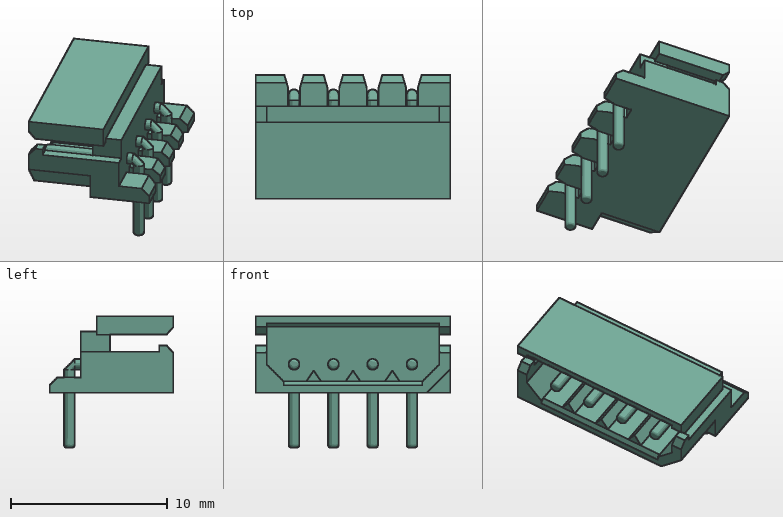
import cadquery as cq
import math


width = 12.4
height = 4.9
housing_depth = 5.91
wall = 0.7
lid_bottom = 3.72
lid_back = 4.9
lid_chamfer_depth = 0.43
back_wall_front = 4.03
back_wall_top = 3.93

side_wall_top = 2.64
lug_top = 3.03
lug_back = 0.92
lug_chamfer_depth = 0.43
lug_chamfer_height = 0.47

cavity_floor = 0.73
cavity_ceiling = 4.2
cavity_corner = 1.09
lead_in = 0.25
key_corner = 1.51

flange_end = 7.9
flange_height = 0.99
flange_chamfer = 0.5
slot_width = 0.75
slot_mouth_width = 1.22
slot_taper_start = 7.09

pin_count = 4
pitch = 2.5
pin_diameter = 0.7
pin_axis_height = 1.82
pin_leg_position = 6.63
pin_tip = 0.51
pin_tip_fillet = 0.2
pin_length_below = 3.5

rib_width = 0.95
rib_height = 0.7

half_width = width / 2
cavity_half_width = half_width - wall
cavity_floor_half_width = cavity_half_width - cavity_corner
pin_radius = pin_diameter / 2
pin_positions = [(i - (pin_count - 1) / 2) * pitch for i in range(pin_count)]
rib_positions = [x + pitch / 2 for x in pin_positions[:-1]]


def side_profile(points, x_start, x_end):
    """Extrude a closed (Y, Z) outline from x_start to x_end."""
    sketch = cq.Workplane("YZ", origin=(x_start, 0, 0)).polyline(points).close()
    return sketch.extrude(x_end - x_start)


def front_profile(points, y_start, y_end):
    """Extrude a closed (X, Z) outline from y_start to y_end."""
    sketch = cq.Workplane("XZ", origin=(0, y_start, 0)).polyline(points).close()
    return sketch.extrude(y_start - y_end)


def make_housing():
    base = side_profile(
        [
            (0, 0),
            (flange_end, 0),
            (flange_end, flange_height - flange_chamfer),
            (flange_end - flange_chamfer, flange_height),
            (housing_depth, flange_height),
            (housing_depth, side_wall_top),
            (lug_back, side_wall_top),
            (lug_back, lug_top),
            (lug_chamfer_depth, lug_top),
            (0, lug_top - lug_chamfer_height),
        ],
        -half_width,
        half_width,
    )
    lid = side_profile(
        [
            (0, height),
            (lid_back, height),
            (lid_back, lid_bottom),
            (lid_chamfer_depth, lid_bottom),
            (0, cavity_ceiling),
        ],
        -half_width,
        half_width,
    )
    back_wall = side_profile(
        [
            (back_wall_front, 0),
            (housing_depth, 0),
            (housing_depth, back_wall_top),
            (back_wall_front, back_wall_top),
        ],
        -cavity_half_width,
        cavity_half_width,
    )
    return base.union(lid).union(back_wall)


def make_cavity():
    pocket = front_profile(
        [
            (-cavity_floor_half_width, cavity_floor),
            (cavity_floor_half_width, cavity_floor),
            (cavity_half_width, cavity_floor + cavity_corner),
            (cavity_half_width, cavity_ceiling),
            (-cavity_half_width, cavity_ceiling),
            (-cavity_half_width, cavity_floor + cavity_corner),
        ],
        0,
        back_wall_front,
    )
    floor_lead_in = side_profile(
        [(0, cavity_floor), (0, cavity_floor - lead_in), (lead_in, cavity_floor)],
        -cavity_floor_half_width,
        cavity_floor_half_width,
    )
    ceiling_lead_in = side_profile(
        [(0, cavity_ceiling), (0, cavity_ceiling + lead_in), (lead_in, cavity_ceiling)],
        -cavity_half_width,
        cavity_half_width,
    )
    return pocket.union(floor_lead_in).union(ceiling_lead_in)


def make_key_corner():
    """Corner cut at the lower +X edge that marks one end of the connector."""
    return front_profile(
        [(half_width - key_corner, 0), (half_width, 0), (half_width, key_corner)],
        0,
        back_wall_front,
    )


def make_slot(x):
    """Flange slot that flares toward its open end."""
    outline = [
        (x - slot_width / 2, housing_depth),
        (x + slot_width / 2, housing_depth),
        (x + slot_width / 2, slot_taper_start),
        (x + slot_mouth_width / 2, flange_end),
        (x - slot_mouth_width / 2, flange_end),
        (x - slot_width / 2, slot_taper_start),
    ]
    return cq.Workplane("XY").polyline(outline).close().extrude(flange_height)


def make_rib(x):
    return front_profile(
        [
            (x - rib_width / 2, cavity_floor),
            (x + rib_width / 2, cavity_floor),
            (x, cavity_floor + rib_height),
        ],
        lead_in,
        back_wall_front,
    )


def make_pin(x):
    """Bent round pin whose two straight runs are joined by an oblique elbow."""
    elbow_y = pin_leg_position - pin_radius
    elbow_z = pin_axis_height - pin_radius

    contact = (
        cq.Workplane("XZ", origin=(x, pin_tip, pin_axis_height))
        .circle(pin_radius)
        .extrude(pin_tip - elbow_y)
        .faces("<Y")
        .edges()
        .fillet(pin_tip_fillet)
    )
    leg = (
        cq.Workplane("XY", origin=(x, pin_leg_position, -pin_length_below))
        .circle(pin_radius)
        .extrude(pin_length_below + elbow_z)
        .faces("<Z")
        .edges()
        .fillet(pin_tip_fillet)
    )

    bar_plane = cq.Plane(
        origin=(x, pin_leg_position + pin_diameter, elbow_z - pin_diameter),
        xDir=(1, 0, 0),
        normal=(0, -1, 1),
    )
    bar_length = 4 * pin_diameter
    bar = (
        cq.Workplane(bar_plane)
        .ellipse(pin_radius, pin_radius / math.sqrt(2))
        .extrude(bar_length)
    )
    elbow_space = cq.Workplane("XY", origin=(x, pin_leg_position, pin_axis_height)).box(
        pin_diameter, pin_diameter, pin_diameter
    )
    elbow = bar.intersect(elbow_space)
    return contact.union(elbow).union(leg)


result = make_housing().cut(make_cavity()).cut(make_key_corner())
for position in rib_positions:
    result = result.union(make_rib(position))
for position in pin_positions:
    result = result.cut(make_slot(position)).union(make_pin(position))